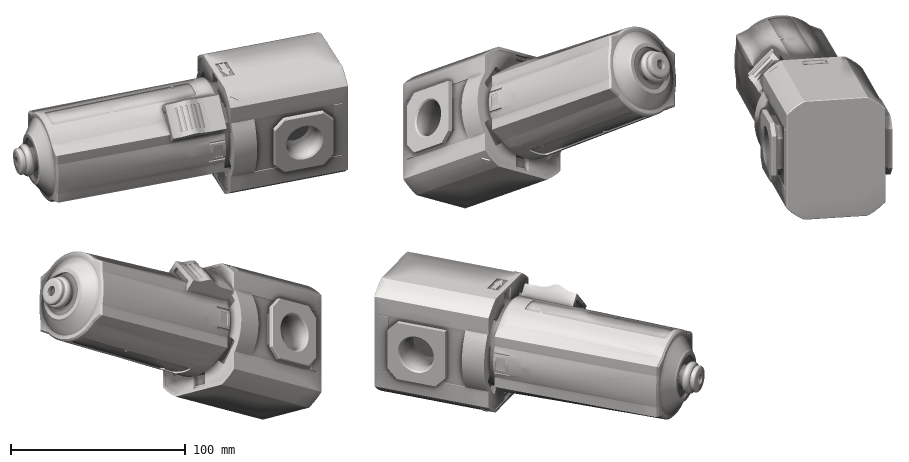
import cadquery as cq
import math


HOUSING_WIDTH = 57.5
HOUSING_HEIGHT = 72.0
HOUSING_CORNER_RADIUS = 40.5
HOUSING_BACK_Y = 28.9
HOUSING_LENGTH = 71.3
HOUSING_FRONT_Y = HOUSING_BACK_Y - HOUSING_LENGTH
BACK_CHAMFER = 0.4
RIM_WIDTH = 1.8
RIM_RECESS = 0.5
COLLAR_RADIUS = 34.0
COLLAR_LENGTH = 14.3
COLLAR_BACK_Y = HOUSING_FRONT_Y + COLLAR_LENGTH

NOTCH_WIDTH = 9.4
NOTCH_DEPTH = 4.0
NOTCH_STEP_DEPTH = 2.0
NOTCH_STEP_WIDTH = 2.0

BAYONET_ANGLE = 36.5
BAYONET_REACH = 30.3
BAYONET_WIDTH = 15.5
BAYONET_DEPTH = 4.0
BAYONET_CORNER = 1.5

PORT_LEFT_FACE = 35.0
PORT_RIGHT_FACE = 35.25
PORT_PLATE_SIZE = 35.8
PORT_PLATE_THICKNESS = 3.6
PORT_CORNER_CUT = 6.0
PORT_EDGE_CHAMFER = 1.1
PORT_OUTER_CHAMFER = 0.5
PORT_NECK_SIZE = 30.0
PORT_BORE_RADIUS = 10.6
PORT_BORE_CHAMFER = 0.8
PORT_BORE_DEPTH = 18.0
PORT_BORE_BOTTOM_RADIUS = 9.5
CHANNEL_HEIGHT = 36.0
CHANNEL_DEPTH = 0.6
CHANNEL_BACK_Y = 20.1
CHANNEL_SLOT_WIDTH = 0.8
CHANNEL_SLOT_BACK_Y = 25.4

ARROW_CENTER_Y = -35.7
ARROW_PANEL_LENGTH = 14.6
ARROW_PANEL_WIDTH = 7.1
ARROW_DEPTH = 1.0
ARROW_HALF_LENGTH = 7.0
ARROW_SHAFT_HALF = 1.5
ARROW_HEAD_HALF = 2.7
ARROW_TAIL_NOTCH = 1.5
MARK_BACK_Y = -36.7
MARK_TIP_Y = -40.9
MARK_CENTER_X = 23.8
MARK_WIDTH = 4.5
MARK_HEIGHT = 0.5
MARK_BASE_Z = 29.0

GUARD_START_Y = -44.85
GUARD_END_Y = -146.5
GUARD_LENGTH = GUARD_START_Y - GUARD_END_Y
GUARD_START_RADIUS = 27.9
GUARD_END_RADIUS = 26.2
GUARD_EDGE_X = 18.0
GUARD_START_FLAT_X = 25.6
GUARD_END_FLAT_X = 25.0
GUARD_FLAT_TOP_Z = 16.0
GUARD_SIDE_Z = 9.9
GUARD_END_SIDE_X = 25.9
GUARD_END_CHAMFER = 1.0
CONE_START_RADIUS = 23.0
CONE_END_RADIUS = 15.6
CONE_LENGTH = 5.8
CONE_TIP_CHAMFER = 0.7
GUARD_TIP_Y = GUARD_END_Y - CONE_LENGTH - CONE_TIP_CHAMFER
GUARD_MOUTH_RADIUS = 12.6
GUARD_CAVITY_RADIUS = 23.4

WINDOW_WIDTH = 14.0
WINDOW_BACK_Y = -55.2
WINDOW_FRONT_Y = -143.0
WINDOW_CORNER = 1.5
WINDOW_DEPTH = 0.9
LEVEL_MARK_SIZE = 2.4
UPPER_MARK_Y = -65.5
LOWER_MARK_Y = -106.6

SNAP_SLOT_Z = 6.0
SNAP_SLOT_WIDTH = 1.2
SNAP_SLOT_LENGTH = 9.8
SNAP_SLOT_DEPTH = 2.0
SNAP_PANEL_HEIGHT = 8.0
SNAP_PANEL_BACK_Y = -46.5
SNAP_PANEL_FRONT_Y = -52.2
SNAP_PANEL_DEPTH = 0.7

BOWL_NECK_RADIUS = 25.8
BOWL_TOP_Y = -36.0
BOWL_WALL = 2.5
BOWL_BOTTOM_Y = -151.0
BOWL_SLOPE_START_Y = -140.0
BOWL_BOTTOM_THICKNESS = 4.0
BOWL_BOTTOM_RADIUS = GUARD_MOUTH_RADIUS

OVERALL_LENGTH = 190.7
KNOB_TIP_Y = HOUSING_BACK_Y - OVERALL_LENGTH
KNOB_STEM_RADIUS = 7.0
KNOB_RING_RADIUS = 9.4
KNOB_RING_BACK_Y = -153.9
KNOB_RING_FRONT_Y = -158.4
KNOB_RING_EDGE_RADIUS = 8.0
KNOB_NOSE_RADIUS = 7.8
KNOB_NOSE_BACK_Y = -159.0
KNOB_TIP_RADIUS = 5.0
KNOB_BORE_RADIUS = 3.0
KNOB_BORE_DEPTH = 3.0

BUTTON_ANGLE = 45.0
BUTTON_WIDTH = 20.1
BUTTON_BACK_Y = -45.4
BUTTON_FRONT_Y = -77.7
BUTTON_INNER = 25.3
BUTTON_OUTER = 33.7
BUTTON_PEAK = 36.7
HUMP_BACK_Y = -55.0
HUMP_FRONT_Y = -75.4
HUMP_CENTER_Y = (HUMP_BACK_Y + HUMP_FRONT_Y) / 2
GRIP_GROOVES = 6
GRIP_PITCH = 2.75
GRIP_GROOVE_WIDTH = 1.2
GRIP_GROOVE_DEPTH = 0.9
GRIP_WIDTH = 14.5
TONGUE_WIDTH = 11.8
TONGUE_OUTER = 29.0
TONGUE_INNER = 27.0
BUTTON_POCKET_WIDTH = 14.5
BUTTON_POCKET_OUTER = 31.3
BUTTON_POCKET_INNER = 27.8
BUTTON_POCKET_DEPTH = 2.0
BUTTON_POCKET_CORNER = 1.0

FAR = 60.0


def front_plane(y):
    """Workplane in X and Z at the given Y that extrudes toward -Y."""
    return cq.Workplane("XZ", origin=(0, y, 0))


def cylinder(radius, back_y, front_y):
    return front_plane(back_y).circle(radius).extrude(back_y - front_y)


def box(x_range, y_range, z_range):
    sizes = [high - low for low, high in (x_range, y_range, z_range)]
    corner = (x_range[0], y_range[0], z_range[0])
    return cq.Workplane("XY").box(*sizes, centered=False).translate(corner)


def turn(body, angle):
    """Turn a body about Y so that +X swings toward +Z."""
    return body.rotate((0, 0, 0), (0, 1, 0), -angle)


def housing_block(back_y, front_y, inset=0.0):
    """Rectangle with round corners struck from the bowl axis."""
    block = front_plane(back_y).rect(HOUSING_WIDTH - 2 * inset, HOUSING_HEIGHT - 2 * inset)
    block = block.extrude(back_y - front_y)
    return block.intersect(cylinder(HOUSING_CORNER_RADIUS - inset, back_y, front_y))


def cut_corner_square(size, x_start, length, corners="|X"):
    prism = cq.Workplane("YZ", origin=(x_start, 0, 0)).rect(size, size).extrude(length)
    return prism.edges(corners).chamfer(PORT_CORNER_CUT)


def port_flange(side, outer_face, outer_chamfer):
    """Port plate and neck, mirrored for -X; the -X plate keeps its upper front corner square."""
    inner_face = outer_face - PORT_PLATE_THICKNESS
    corners = "|X" if side > 0 else "|X and (>Y or <Z)"
    plate = cut_corner_square(PORT_PLATE_SIZE, inner_face, PORT_PLATE_THICKNESS, corners)
    plate = plate.faces("<X").chamfer(PORT_EDGE_CHAMFER)
    if outer_chamfer:
        plate = plate.faces(">X").chamfer(outer_chamfer)
    neck_start = HOUSING_WIDTH / 2 - 2 * CHANNEL_DEPTH
    flange = plate.union(cut_corner_square(PORT_NECK_SIZE, neck_start, inner_face - neck_start))
    return flange if side > 0 else flange.mirror("YZ")


def port_bore(side, outer_face):
    """Tapered blind bore with a chamfered mouth."""
    bottom = outer_face - PORT_BORE_DEPTH
    chamfer_start = outer_face - PORT_BORE_CHAMFER
    mouth_radius = PORT_BORE_RADIUS + PORT_BORE_CHAMFER
    profile = [(bottom, 0), (bottom, PORT_BORE_BOTTOM_RADIUS), (chamfer_start, PORT_BORE_RADIUS),
               (outer_face, mouth_radius), (outer_face, 0)]
    bore = cq.Workplane("XY").polyline(profile).close().revolve(360, (0, 0, 0), (1, 0, 0))
    return bore if side > 0 else bore.mirror("YZ")


def side_channel(side):
    """Shallow channel behind the port plate with a narrow slot running on from each edge."""
    outer = HOUSING_WIDTH / 2
    half = CHANNEL_HEIGHT / 2
    depth_x = (outer - CHANNEL_DEPTH, outer)
    channel = box(depth_x, (COLLAR_BACK_Y, CHANNEL_BACK_Y), (-half, half))
    slot_y = (CHANNEL_BACK_Y, CHANNEL_SLOT_BACK_Y)
    for slot_z in ((-half, CHANNEL_SLOT_WIDTH - half), (half - CHANNEL_SLOT_WIDTH, half)):
        channel = channel.union(box(depth_x, slot_y, slot_z))
    return channel if side > 0 else channel.mirror("YZ")


def front_notch(side):
    """Stepped notch between the bowl socket and the rim."""
    half = NOTCH_WIDTH / 2
    outer_z = HOUSING_HEIGHT / 2 - RIM_WIDTH
    step_z = outer_z - NOTCH_STEP_WIDTH
    notch = box((-half, half), (HOUSING_FRONT_Y, HOUSING_FRONT_Y + NOTCH_DEPTH), (0, step_z))
    step = box((-half, half), (HOUSING_FRONT_Y, HOUSING_FRONT_Y + NOTCH_STEP_DEPTH), (0, outer_z))
    notch = notch.union(step)
    return notch if side > 0 else notch.mirror("XY")


def bayonet_pocket(angle):
    half = BAYONET_WIDTH / 2
    pocket = box((0, BAYONET_REACH), (HOUSING_FRONT_Y, HOUSING_FRONT_Y + BAYONET_DEPTH), (-half, half))
    return turn(pocket.edges("|Y and >X").fillet(BAYONET_CORNER), angle)


def flow_arrow_panel():
    """Sunk panel that leaves the arrow standing."""
    floor_z = HOUSING_HEIGHT / 2 - ARROW_DEPTH
    plane = cq.Workplane("XY", origin=(0, ARROW_CENTER_Y, floor_z))
    panel = plane.rect(ARROW_PANEL_LENGTH, ARROW_PANEL_WIDTH).extrude(ARROW_DEPTH)
    upper = [(0, ARROW_SHAFT_HALF), (0, ARROW_HEAD_HALF), (ARROW_HALF_LENGTH, 0)]
    lower = [(0, -ARROW_HEAD_HALF), (0, -ARROW_SHAFT_HALF)]
    tail = [(-ARROW_HALF_LENGTH, -ARROW_SHAFT_HALF),
            (ARROW_TAIL_NOTCH - ARROW_HALF_LENGTH, 0),
            (-ARROW_HALF_LENGTH, ARROW_SHAFT_HALF)]
    arrow = plane.polyline(upper + lower + tail).close().extrude(ARROW_DEPTH)
    return panel.cut(arrow)


def lock_mark():
    """Raised triangle on the upper right round corner."""
    half = MARK_WIDTH / 2
    points = [(MARK_CENTER_X - half, MARK_BACK_Y), (MARK_CENTER_X + half, MARK_BACK_Y),
              (MARK_CENTER_X, MARK_TIP_Y)]
    prism = cq.Workplane("XY", origin=(0, 0, MARK_BASE_Z)).polyline(points).close().extrude(FAR)
    return prism.intersect(cylinder(HOUSING_CORNER_RADIUS + MARK_HEIGHT, MARK_BACK_Y, MARK_TIP_Y))


def build_housing():
    body = housing_block(HOUSING_BACK_Y, HOUSING_FRONT_Y)
    body = body.faces(">Y").chamfer(BACK_CHAMFER)
    ports = ((-1, PORT_LEFT_FACE, 0), (1, PORT_RIGHT_FACE, PORT_OUTER_CHAMFER))
    for side, outer_face, outer_chamfer in ports:
        body = body.cut(side_channel(side))
        body = body.union(port_flange(side, outer_face, outer_chamfer))
        body = body.cut(port_bore(side, outer_face))
    body = body.union(cylinder(COLLAR_RADIUS, COLLAR_BACK_Y, HOUSING_FRONT_Y))
    recess_y = HOUSING_FRONT_Y + RIM_RECESS
    body = body.cut(housing_block(recess_y, HOUSING_FRONT_Y, RIM_WIDTH))
    body = body.cut(cylinder(COLLAR_RADIUS, recess_y, HOUSING_FRONT_Y))
    for side in (-1, 1):
        body = body.cut(front_notch(side))
        body = body.cut(bayonet_pocket(side * BAYONET_ANGLE))
        body = body.cut(bayonet_pocket(180 + side * BAYONET_ANGLE))
    body = body.cut(cylinder(BOWL_NECK_RADIUS, BOWL_TOP_Y, HOUSING_FRONT_Y))
    body = body.cut(flow_arrow_panel())
    for angle in (0, 180):
        body = body.union(turn(lock_mark(), angle))
    return body


def guard_section(workplane, radius, flat_x, side_x):
    """Round top and bottom, flat corners and bowed sides."""
    edge_x, edge_z = GUARD_EDGE_X, math.sqrt(radius**2 - GUARD_EDGE_X**2)
    flat_z = GUARD_FLAT_TOP_Z
    return (
        workplane.moveTo(-edge_x, edge_z)
        .threePointArc((0, radius), (edge_x, edge_z))
        .lineTo(flat_x, flat_z)
        .lineTo(flat_x, GUARD_SIDE_Z)
        .threePointArc((side_x, 0), (flat_x, -GUARD_SIDE_Z))
        .lineTo(flat_x, -flat_z)
        .lineTo(edge_x, -edge_z)
        .threePointArc((0, -radius), (-edge_x, -edge_z))
        .lineTo(-flat_x, -flat_z)
        .lineTo(-flat_x, -GUARD_SIDE_Z)
        .threePointArc((-side_x, 0), (-flat_x, GUARD_SIDE_Z))
        .lineTo(-flat_x, flat_z)
        .close()
    )


def guard_shell(inset=0.0):
    """Tapered guard; the inset lowers its round top and bottom."""
    start_radius = GUARD_START_RADIUS - inset
    end_radius = GUARD_END_RADIUS - inset
    start = guard_section(front_plane(GUARD_START_Y), start_radius, GUARD_START_FLAT_X, GUARD_START_RADIUS)
    end_plane = start.workplane(offset=GUARD_LENGTH)
    return guard_section(end_plane, end_radius, GUARD_END_FLAT_X, GUARD_END_SIDE_X).loft(ruled=True)


def level_windows():
    """Sunk windows above and below that leave two level marks standing."""
    half = WINDOW_WIDTH / 2
    window = box((-half, half), (WINDOW_FRONT_Y, WINDOW_BACK_Y), (-FAR, FAR))
    window = window.edges("|Z").fillet(WINDOW_CORNER)
    for side, mark_y in ((-1, UPPER_MARK_Y), (1, LOWER_MARK_Y)):
        base_x = side * half
        tip_x = base_x - side * LEVEL_MARK_SIZE
        points = [(base_x, mark_y + LEVEL_MARK_SIZE / 2), (tip_x, mark_y),
                  (base_x, mark_y - LEVEL_MARK_SIZE / 2)]
        window = window.cut(cq.Workplane("XY").polyline(points).close().extrude(FAR, both=True))
    return window.cut(guard_shell(WINDOW_DEPTH))


def snap_tab_cuts(side):
    """Two slots and a sunk panel between them on one side of the guard."""
    slot_inner = GUARD_START_RADIUS - SNAP_SLOT_DEPTH
    slot_y = (GUARD_START_Y - SNAP_SLOT_LENGTH, GUARD_START_Y)
    panel_y = (SNAP_PANEL_FRONT_Y, SNAP_PANEL_BACK_Y)
    half_panel = SNAP_PANEL_HEIGHT / 2
    half_slot = SNAP_SLOT_WIDTH / 2
    cuts = box((GUARD_START_RADIUS - SNAP_PANEL_DEPTH, FAR), panel_y, (-half_panel, half_panel))
    for slot_z in (-SNAP_SLOT_Z, SNAP_SLOT_Z):
        cuts = cuts.union(box((slot_inner, FAR), slot_y, (slot_z - half_slot, slot_z + half_slot)))
    return cuts if side > 0 else cuts.mirror("YZ")


def bowl_outline():
    """Outside of the bowl below its neck, as radius and Y from the axis outward."""
    return [(0, BOWL_BOTTOM_Y), (BOWL_BOTTOM_RADIUS, BOWL_BOTTOM_Y),
            (GUARD_CAVITY_RADIUS, BOWL_SLOPE_START_Y), (GUARD_CAVITY_RADIUS, GUARD_START_Y)]


def revolve_profile(points):
    return cq.Workplane("XY").polyline(points).close().revolve(360, (0, 0, 0), (0, 1, 0))


def build_guard():
    body = guard_shell().faces("<Y").chamfer(GUARD_END_CHAMFER)
    cone_end_y = GUARD_END_Y - CONE_LENGTH
    cone = [(0, GUARD_END_Y), (CONE_START_RADIUS, GUARD_END_Y), (CONE_END_RADIUS, cone_end_y),
            (CONE_END_RADIUS - CONE_TIP_CHAMFER, GUARD_TIP_Y), (0, GUARD_TIP_Y)]
    body = body.union(revolve_profile(cone))
    body = body.cut(level_windows())
    for side in (-1, 1):
        body = body.cut(snap_tab_cuts(side))
    body = body.cut(revolve_profile(bowl_outline() + [(0, GUARD_START_Y)]))
    body = body.cut(cylinder(GUARD_MOUTH_RADIUS, BOWL_BOTTOM_Y, GUARD_TIP_Y))
    half = BUTTON_WIDTH / 2
    button_seat = box((BUTTON_INNER, FAR), (BUTTON_FRONT_Y, GUARD_START_Y), (-half, half))
    return body.cut(turn(button_seat, BUTTON_ANGLE))


def build_bowl():
    inner_radius = GUARD_CAVITY_RADIUS - BOWL_WALL
    floor_y = BOWL_BOTTOM_Y + BOWL_BOTTOM_THICKNESS
    neck = [(BOWL_NECK_RADIUS, GUARD_START_Y), (BOWL_NECK_RADIUS, BOWL_TOP_Y)]
    inside = [(inner_radius, BOWL_TOP_Y), (inner_radius, BOWL_SLOPE_START_Y),
              (BOWL_BOTTOM_RADIUS - BOWL_WALL, floor_y), (0, floor_y)]
    bowl = revolve_profile(bowl_outline() + neck + inside)
    return bowl.cut(cylinder(KNOB_STEM_RADIUS, floor_y, BOWL_BOTTOM_Y))


def build_knob():
    """Drain knob with a round gripping ring and a rounded nose."""
    stem_top_y = BOWL_BOTTOM_Y + BOWL_BOTTOM_THICKNESS
    ring_mid_y = (KNOB_RING_BACK_Y + KNOB_RING_FRONT_Y) / 2
    nose_mid_y = (KNOB_NOSE_BACK_Y + KNOB_TIP_Y) / 2
    bore_bottom_y = KNOB_TIP_Y + KNOB_BORE_DEPTH
    return (
        cq.Workplane("XY")
        .moveTo(0, stem_top_y)
        .lineTo(KNOB_STEM_RADIUS, stem_top_y)
        .lineTo(KNOB_STEM_RADIUS, KNOB_RING_BACK_Y)
        .lineTo(KNOB_RING_EDGE_RADIUS, KNOB_RING_BACK_Y)
        .threePointArc((KNOB_RING_RADIUS, ring_mid_y), (KNOB_RING_EDGE_RADIUS, KNOB_RING_FRONT_Y))
        .lineTo(KNOB_STEM_RADIUS, KNOB_RING_FRONT_Y)
        .lineTo(KNOB_STEM_RADIUS, KNOB_NOSE_BACK_Y)
        .lineTo(KNOB_NOSE_RADIUS, KNOB_NOSE_BACK_Y)
        .lineTo(KNOB_NOSE_RADIUS, nose_mid_y)
        .spline([(KNOB_TIP_RADIUS, KNOB_TIP_Y)], tangents=[(0, -1), (-1, 0)], includeCurrent=True)
        .lineTo(KNOB_BORE_RADIUS, KNOB_TIP_Y)
        .lineTo(KNOB_BORE_RADIUS, bore_bottom_y)
        .lineTo(0, bore_bottom_y)
        .close()
        .revolve(360, (0, 0, 0), (0, 1, 0))
    )


def button_profile(lowered=0.0):
    """Side outline of the button; its thumb hump is a smooth wave."""
    outer = BUTTON_OUTER - lowered
    peak = (BUTTON_PEAK - lowered, HUMP_CENTER_Y)
    return (
        cq.Workplane("XY")
        .moveTo(BUTTON_INNER, BUTTON_BACK_Y)
        .lineTo(outer, BUTTON_BACK_Y)
        .lineTo(outer, HUMP_BACK_Y)
        .spline([peak, (outer, HUMP_FRONT_Y)], tangents=[(0, -1)] * 3, includeCurrent=True)
        .lineTo(outer, BUTTON_FRONT_Y)
        .lineTo(BUTTON_INNER, BUTTON_FRONT_Y)
        .close()
    )


def grip_grooves():
    """Cross grooves that follow the hump at an even depth."""
    half = GRIP_WIDTH / 2
    grooves = cq.Workplane("XY")
    for index in range(GRIP_GROOVES):
        center_y = HUMP_CENTER_Y + (index - (GRIP_GROOVES - 1) / 2) * GRIP_PITCH
        y_range = (center_y - GRIP_GROOVE_WIDTH / 2, center_y + GRIP_GROOVE_WIDTH / 2)
        grooves = grooves.add(box((BUTTON_INNER, FAR), y_range, (-half, half)))
    grooves = grooves.combine()
    return grooves.cut(button_profile(GRIP_GROOVE_DEPTH).extrude(BUTTON_WIDTH / 2, both=True))


def build_button():
    body = button_profile().extrude(BUTTON_WIDTH / 2, both=True)
    body = body.cut(grip_grooves())
    half_pocket = BUTTON_POCKET_WIDTH / 2
    pocket_y = (BUTTON_FRONT_Y, BUTTON_FRONT_Y + BUTTON_POCKET_DEPTH)
    pocket = box((BUTTON_POCKET_INNER, BUTTON_POCKET_OUTER), pocket_y, (-half_pocket, half_pocket))
    body = body.cut(pocket.edges("|Y").fillet(BUTTON_POCKET_CORNER))
    half_tongue = TONGUE_WIDTH / 2
    tongue_y = (BUTTON_BACK_Y, HOUSING_FRONT_Y)
    body = body.union(box((TONGUE_INNER, TONGUE_OUTER), tongue_y, (-half_tongue, half_tongue)))
    return turn(body, BUTTON_ANGLE)


housing = build_housing()
guard = build_guard()
bowl = build_bowl()
knob = build_knob()
button = build_button()

bodies = (housing, guard, bowl, knob, button)
result = cq.Compound.makeCompound([body.solids().val() for body in bodies])